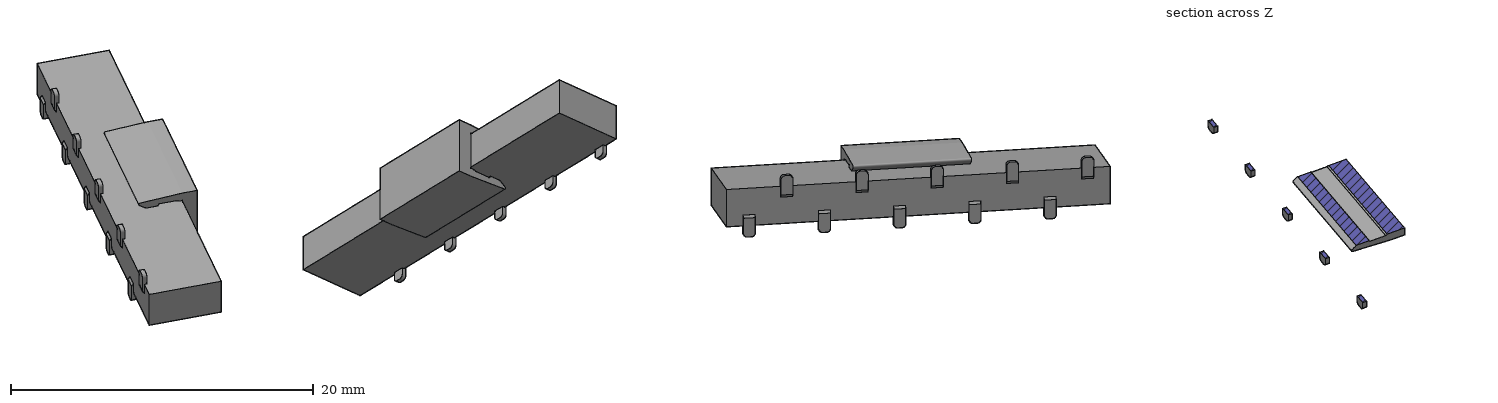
import cadquery as cq

BODY_LENGTH = 25.9
BODY_DEPTH = 4.97
BODY_HEIGHT = 2.6
OVERALL_DEPTH = 6.1
OVERALL_HEIGHT = 4.1

CONTACT_COUNT = 10
CONTACT_PITCH = 2.55
CONTACT_WIDTH = 0.8
CONTACT_THICKNESS = 0.3
CONTACT_PROTRUSION = 0.13
CONTACT_ROOT_Z = 0.55
CONTACT_RAMP_HEIGHT = 0.18
CONTACT_TIP_RADIUS = 0.25

CLIP_WIDTH = 8.0
CLIP_HEIGHT = 4.0
CLIP_SLOT_HEIGHT = 2.75
ARM_LENGTH = 3.2
ARM_TIP_Z = 1.8
RELIEF_Z = 1.45
RELIEF_START = 0.28
RELIEF_RUN = 0.15
RELIEF_END = 1.63
PAD_START = 1.7
PAD_END = 2.55
ARM_TIP_RADIUS = 0.1

BODY_FRONT = -BODY_DEPTH / 2
BODY_BACK = BODY_DEPTH / 2
BODY_TOP = BODY_HEIGHT / 2
CLIP_BACK = BODY_FRONT - CONTACT_PROTRUSION + OVERALL_DEPTH


def make_body():
    return cq.Workplane("XY").box(BODY_LENGTH, BODY_DEPTH, BODY_HEIGHT)


def make_contact():
    """Upper contact at X = 0: a round-cornered tab with a ramped root on the front face."""
    face = BODY_FRONT - CONTACT_PROTRUSION
    inner = face + CONTACT_THICKNESS
    tip = OVERALL_HEIGHT / 2
    return (
        cq.Workplane("YZ")
        .moveTo(inner, CONTACT_ROOT_Z)
        .lineTo(BODY_FRONT, CONTACT_ROOT_Z)
        .lineTo(face, CONTACT_ROOT_Z + CONTACT_RAMP_HEIGHT)
        .lineTo(face, tip)
        .lineTo(inner, tip)
        .close()
        .extrude(CONTACT_WIDTH / 2, both=True)
        .faces(">Z")
        .edges("|Y")
        .fillet(CONTACT_TIP_RADIUS)
    )


def make_clip_half():
    """Upper half of the clip: back wall and one tapered arm with a relief and a rounded tip."""
    top = CLIP_HEIGHT / 2
    slot_top = CLIP_SLOT_HEIGHT / 2
    arm_end = BODY_BACK - ARM_LENGTH
    pad_end = BODY_BACK - PAD_END
    relief_start = BODY_BACK - RELIEF_START
    profile = [
        (CLIP_BACK, 0),
        (CLIP_BACK, top),
        (BODY_BACK, top),
        (arm_end, ARM_TIP_Z),
        (pad_end, BODY_TOP),
        (BODY_BACK - PAD_START, BODY_TOP),
        (BODY_BACK - RELIEF_END, RELIEF_Z),
        (relief_start - RELIEF_RUN, RELIEF_Z),
        (relief_start, slot_top),
        (BODY_BACK, slot_top),
        (BODY_BACK, 0),
    ]
    return (
        cq.Workplane("YZ")
        .polyline(profile)
        .close()
        .extrude(CLIP_WIDTH / 2, both=True)
        .edges("<Y and |X")
        .fillet(ARM_TIP_RADIUS)
    )


def add_contacts(part):
    """Contacts alternate along X: lower, upper, lower, and so on."""
    upper = make_contact()
    lower = upper.mirror("XY")
    first_x = -CONTACT_PITCH * (CONTACT_COUNT - 1) / 2
    for index in range(CONTACT_COUNT):
        contact = upper if index % 2 else lower
        part = part.union(contact.translate((first_x + index * CONTACT_PITCH, 0, 0)))
    return part


clip_half = make_clip_half()
result = add_contacts(make_body().union(clip_half).union(clip_half.mirror("XY")))